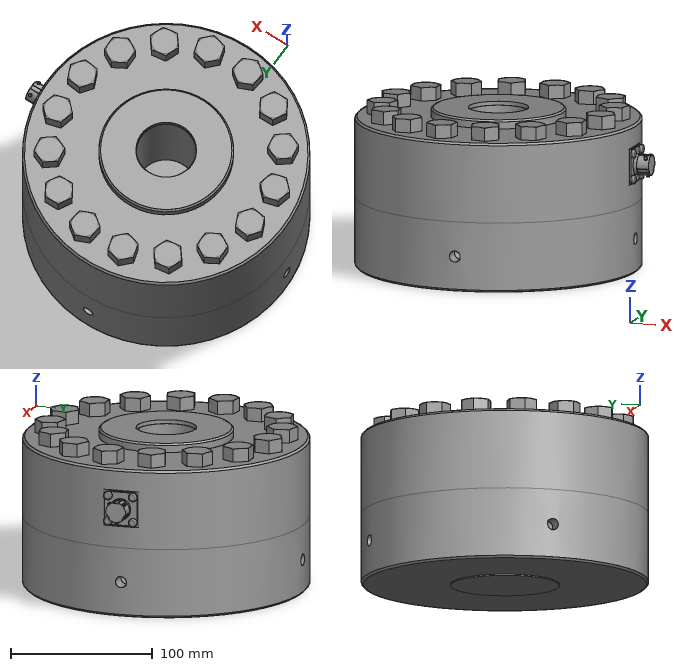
import cadquery as cq
import math

BODY_RADIUS = 203.2 / 2
UPPER_HEIGHT = 57.15
LOWER_HEIGHT = 50.0
BODY_HEIGHT = LOWER_HEIGHT + UPPER_HEIGHT
BODY_CHAMFER = 1.5
CUT_MARGIN = 1.0

HUB_RADIUS = 95.25 / 2
HUB_HEIGHT = 6.35
HUB_CHAMFER = 1.27
BORE_RADIUS = 42.0 / 2
BORE_ENTRY_RADIUS = 42.6 / 2
BORE_ENTRY_DEPTH = 2.8
PAD_RADIUS = 77.0 / 2
PAD_HEIGHT = 0.9

BOLT_COUNT = 16
BOLT_PITCH = 360 / BOLT_COUNT
BOLT_START_ANGLE = 2.5 * BOLT_PITCH
BOLT_CIRCLE_RADIUS = 165.1 / 2
BOLT_ACROSS_FLATS = 19.05
BOLT_ACROSS_CORNERS = BOLT_ACROSS_FLATS / math.cos(math.pi / 6)
BOLT_HEAD_HEIGHT = 9.7
BOLT_CORNER_BEVEL = 0.35

SIDE_HOLE_RADIUS = 8.0 / 2
SIDE_HOLE_DEPTH = 12.0
DRILL_POINT_ANGLE = 118
SIDE_HOLE_Z = LOWER_HEIGHT / 2
SIDE_HOLE_ANGLES = (0, 90, 180, 270)

CONNECTOR_Z = LOWER_HEIGHT + UPPER_HEIGHT / 2
SEAT_X = 100.8
SEAT_SIZE = 26.0
FLANGE_SIZE = 24.2
FLANGE_THICKNESS = 1.4
FLANGE_CORNER_RADIUS = 2.8
FLANGE_FACE_X = SEAT_X + FLANGE_THICKNESS
SCREW_PITCH = FLANGE_SIZE - 2 * FLANGE_CORNER_RADIUS
SCREW_HEAD_RADIUS = 3.1
SCREW_HEAD_HEIGHT = 2.2
SCREW_HEAD_ROUND = 1.0
COLLAR_RADIUS = 7.45
COLLAR_END_X = 104.7
SHELL_RADIUS = 7.35
SHELL_END_X = 113.52
KEYWAY_WIDTH = 3.2
KEYWAY_DEPTH = 0.8
KEYWAY_ANGLES = (90, 210, 330)
PIN_RADIUS = 1.15
PIN_X = 110.9
PIN_TIP_RADIUS = 8.5
PIN_ANGLES = (45, 135, 270)


def disc(radius, height, z):
    return cq.Workplane("XY").workplane(offset=z).circle(radius).extrude(height)


def make_bore():
    """Blind bore from the hub face down to the joint plane, with a wider entry."""
    hub_top = BODY_HEIGHT + HUB_HEIGHT
    bore = disc(BORE_RADIUS, hub_top - LOWER_HEIGHT, LOWER_HEIGHT)
    return bore.union(disc(BORE_ENTRY_RADIUS, BORE_ENTRY_DEPTH, hub_top - BORE_ENTRY_DEPTH))


def make_bolt_head():
    """Hex head with its top corners bevelled down to the inscribed circle."""
    corner_radius = BOLT_ACROSS_CORNERS / 2
    head = cq.Workplane("XY").polygon(6, BOLT_ACROSS_CORNERS).extrude(BOLT_HEAD_HEIGHT)
    envelope = (
        cq.Workplane("XZ")
        .moveTo(0, 0)
        .lineTo(corner_radius, 0)
        .lineTo(corner_radius, BOLT_HEAD_HEIGHT - BOLT_CORNER_BEVEL)
        .lineTo(BOLT_ACROSS_FLATS / 2, BOLT_HEAD_HEIGHT)
        .lineTo(0, BOLT_HEAD_HEIGHT)
        .close()
        .revolve(360, (0, 0, 0), (0, 1, 0))
    )
    return head.intersect(envelope)


def add_bolts(part):
    """The heads turn with the bolt circle; the first one has corners facing +X and -X."""
    start = math.radians(BOLT_START_ANGLE)
    first = make_bolt_head().translate(
        (BOLT_CIRCLE_RADIUS * math.cos(start), BOLT_CIRCLE_RADIUS * math.sin(start), BODY_HEIGHT)
    )
    for index in range(BOLT_COUNT):
        part = part.union(first.rotate((0, 0, 0), (0, 0, 1), index * BOLT_PITCH))
    return part


def make_side_hole(angle):
    """Radial drilled hole, built along +X and turned to its angle about Z."""
    tip_length = SIDE_HOLE_RADIUS / math.tan(math.radians(DRILL_POINT_ANGLE / 2))
    floor_x = BODY_RADIUS - SIDE_HOLE_DEPTH
    hole = (
        cq.Workplane("XY")
        .moveTo(floor_x - tip_length, 0)
        .lineTo(floor_x, SIDE_HOLE_RADIUS)
        .lineTo(BODY_RADIUS + CUT_MARGIN, SIDE_HOLE_RADIUS)
        .lineTo(BODY_RADIUS + CUT_MARGIN, 0)
        .close()
        .revolve(360, (0, 0, 0), (1, 0, 0))
    )
    return hole.translate((0, 0, SIDE_HOLE_Z)).rotate((0, 0, 0), (0, 0, 1), angle)


def connector_plane(x):
    """Plane facing +X on the connector axis; local x is +Y and local y is +Z."""
    return cq.Workplane("YZ", origin=(x, 0, CONNECTOR_Z))


def around_connector(shape, angle):
    """Turn a shape about the connector axis; 0 is toward +Y and 90 toward +Z."""
    return shape.rotate((0, 0, CONNECTOR_Z), (1, 0, CONNECTOR_Z), angle)


def make_flange():
    plate = connector_plane(SEAT_X).rect(FLANGE_SIZE, FLANGE_SIZE).extrude(FLANGE_THICKNESS)
    plate = plate.edges("|X").fillet(FLANGE_CORNER_RADIUS)
    screws = (
        connector_plane(FLANGE_FACE_X)
        .rect(SCREW_PITCH, SCREW_PITCH, forConstruction=True)
        .vertices()
        .circle(SCREW_HEAD_RADIUS)
        .extrude(SCREW_HEAD_HEIGHT)
        .faces(">X")
        .edges()
        .fillet(SCREW_HEAD_ROUND)
    )
    return plate.union(screws)


def make_shell():
    """Plug shell with a collar, lengthwise keyways and bayonet pins."""
    shell = connector_plane(COLLAR_END_X).circle(SHELL_RADIUS).extrude(SHELL_END_X - COLLAR_END_X)
    keyway = (
        connector_plane(COLLAR_END_X)
        .center(SHELL_RADIUS, 0)
        .rect(2 * KEYWAY_DEPTH, KEYWAY_WIDTH)
        .extrude(SHELL_END_X - COLLAR_END_X)
    )
    for angle in KEYWAY_ANGLES:
        shell = shell.cut(around_connector(keyway, angle))
    pin = cq.Workplane("XZ", origin=(PIN_X, 0, CONNECTOR_Z)).circle(PIN_RADIUS).extrude(-PIN_TIP_RADIUS)
    for angle in PIN_ANGLES:
        shell = shell.union(around_connector(pin, angle))
    collar = connector_plane(FLANGE_FACE_X).circle(COLLAR_RADIUS).extrude(COLLAR_END_X - FLANGE_FACE_X)
    return shell.union(collar)


def make_lower_drum():
    """Base drum with its raised pad underneath and drilled side holes."""
    drum = disc(BODY_RADIUS, LOWER_HEIGHT, 0).faces("<Z").edges().chamfer(BODY_CHAMFER)
    drum = drum.union(disc(PAD_RADIUS, PAD_HEIGHT, -PAD_HEIGHT))
    for angle in SIDE_HOLE_ANGLES:
        drum = drum.cut(make_side_hole(angle))
    return drum


def make_upper_drum():
    """Cell drum with the bored hub, the bolt heads and the side connector."""
    drum = disc(BODY_RADIUS, UPPER_HEIGHT, LOWER_HEIGHT).faces(">Z").edges().chamfer(BODY_CHAMFER)
    hub = disc(HUB_RADIUS, HUB_HEIGHT, BODY_HEIGHT).faces(">Z").edges().chamfer(HUB_CHAMFER)
    drum = drum.union(hub).cut(make_bore())
    seat = connector_plane(SEAT_X).rect(SEAT_SIZE, SEAT_SIZE).extrude(BODY_RADIUS - SEAT_X)
    drum = drum.cut(seat).union(make_flange()).union(make_shell())
    return add_bolts(drum)


result = make_lower_drum().union(make_upper_drum(), clean=False)